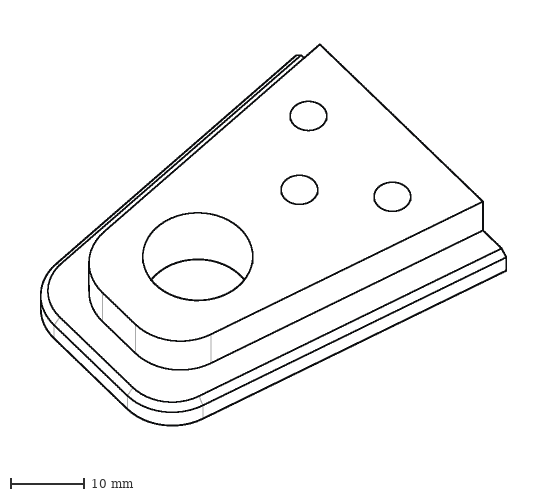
import cadquery as cq
import math

length = 55.0
back_width = 45.0
plate_height = 4.0
plate_chamfer = 1.0

boss_length = 50.0
boss_back_width = 35.0
boss_height = 6.5

side_taper = 8.0
corner_radius = 8.0

small_hole_diameter = 5.0
pair_spacing = 18.0
pair_setback = 9.0
center_hole_setback = 2 * pair_setback
bore_diameter = 15.0
bore_setback = 36.0

back_y = length / 2
total_height = plate_height + boss_height


def tapered_block(width, depth, height):
    """Block narrowing from the back face to a front with rounded corners."""
    half_back = width / 2
    half_front = half_back - depth * math.tan(math.radians(side_taper))
    front_y = back_y - depth
    outline = [
        (-half_back, back_y),
        (-half_front, front_y),
        (half_front, front_y),
        (half_back, back_y),
    ]
    block = cq.Workplane("XY").polyline(outline).close().extrude(height)
    return block.edges("|Z and <Y").fillet(corner_radius)


def through_holes(diameter, centers):
    """Vertical cylinders spanning the full height of the part."""
    return cq.Workplane("XY").pushPoints(centers).circle(diameter / 2).extrude(total_height)


plate = tapered_block(back_width, length, plate_height)
plate = plate.faces(">Z").edges("not >Y").chamfer(plate_chamfer)

boss = tapered_block(boss_back_width, boss_length, total_height)

small_hole_centers = [
    (-pair_spacing / 2, back_y - pair_setback),
    (pair_spacing / 2, back_y - pair_setback),
    (0, back_y - center_hole_setback),
]
small_holes = through_holes(small_hole_diameter, small_hole_centers)
bore = through_holes(bore_diameter, [(0, back_y - bore_setback)])

result = plate.union(boss).cut(small_holes).cut(bore)